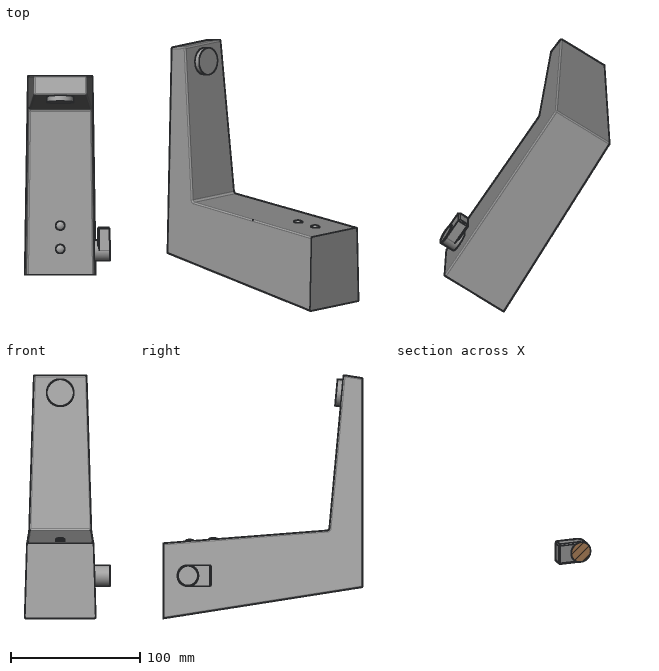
import cadquery as cq
import math

length = 154.1
height = 188.4
front_height = 58.3
base_slope = 0.157
corner_y = 128.1
corner_z = 68.3
tip_y = 139.2
corner_radius = 1.9
edge_radius = 1.1

bottom_width = 55.1
top_width = 41.0
back_narrowing = 3.4

button_diameter = 20.9
button_height = 4.3
button_overlap = 1.9
button_z = 174.5

screw_diameter = 7.0
screw_dome = 1.3
screw_positions = (20.1, 38.2)

lever_y = 19.0
lever_z = 33.1
hub_diameter = 16.4
hub_end_x = 38.8
hub_chamfer = 0.5
bar_inner_x = 29.0
bar_outer_x = 38.2
bar_end_y = 37.0
bar_chamfer = 1.1

arm_slope = (corner_z - front_height) / corner_y
upright_slope = (tip_y - corner_y) / (height - corner_z)


def half_width(y, z):
    """Half width of the tapered body at a given place."""
    narrowing_at_tip = back_narrowing * tip_y / length
    z_taper = (bottom_width - top_width - narrowing_at_tip) / height
    return (bottom_width - z_taper * z - back_narrowing * y / length) / 2


def taper_section(z):
    """Corner points of the body's trapezoidal envelope at height z."""
    front = half_width(0, z)
    back = half_width(length, z)
    return [(-front, 0), (front, 0), (back, length), (-back, length)]


def make_body():
    profile = [
        (0, 0),
        (0, front_height),
        (corner_y, corner_z),
        (tip_y, height),
        (length, height - base_slope * (length - tip_y)),
        (length, base_slope * length),
    ]
    slab = (
        cq.Workplane("YZ").polyline(profile).close()
        .extrude(bottom_width / 2, both=True)
    )
    corner = cq.selectors.NearestToPointSelector((0, corner_y, corner_z))
    slab = slab.edges(corner).fillet(corner_radius)
    envelope = (
        cq.Workplane("XY").polyline(taper_section(0)).close()
        .workplane(offset=height).polyline(taper_section(height)).close()
        .loft(ruled=True)
    )
    body = slab.intersect(envelope)
    outer_faces = body.faces("<X or >X or >Y or >Z")
    return outer_faces.edges("not <Y").fillet(edge_radius)


def make_button():
    face_y = corner_y + upright_slope * (button_z - corner_z)
    plane = cq.Plane(
        origin=(0, face_y, button_z),
        xDir=(1, 0, 0),
        normal=(0, -1, upright_slope),
    )
    button = cq.Workplane(plane).workplane(offset=-button_overlap).circle(button_diameter / 2)
    return button.extrude(button_height + button_overlap)


def make_screw(y):
    """Spherical cap standing on the sloping top of the arm."""
    radius = screw_diameter / 2
    sphere_radius = (radius**2 + screw_dome**2) / (2 * screw_dome)
    depth = sphere_radius - screw_dome
    tilt = math.atan(arm_slope)
    top_z = front_height + arm_slope * y
    center = (0, y + depth * math.sin(tilt), top_z - depth * math.cos(tilt))
    return cq.Workplane("XY").sphere(sphere_radius).translate(center)


def make_lever():
    hub = (
        cq.Workplane("YZ").center(lever_y, lever_z).circle(hub_diameter / 2)
        .extrude(hub_end_x).faces(">X").edges().chamfer(hub_chamfer)
    )
    bar = (
        cq.Workplane("XY")
        .box(bar_outer_x - bar_inner_x, bar_end_y - lever_y, hub_diameter, centered=False)
        .translate((bar_inner_x, lever_y, lever_z - hub_diameter / 2))
        .faces(">Y or <X").edges().chamfer(bar_chamfer)
    )
    return hub.union(bar)


result = make_body().union(make_button()).union(make_lever())
for screw_y in screw_positions:
    result = result.union(make_screw(screw_y))